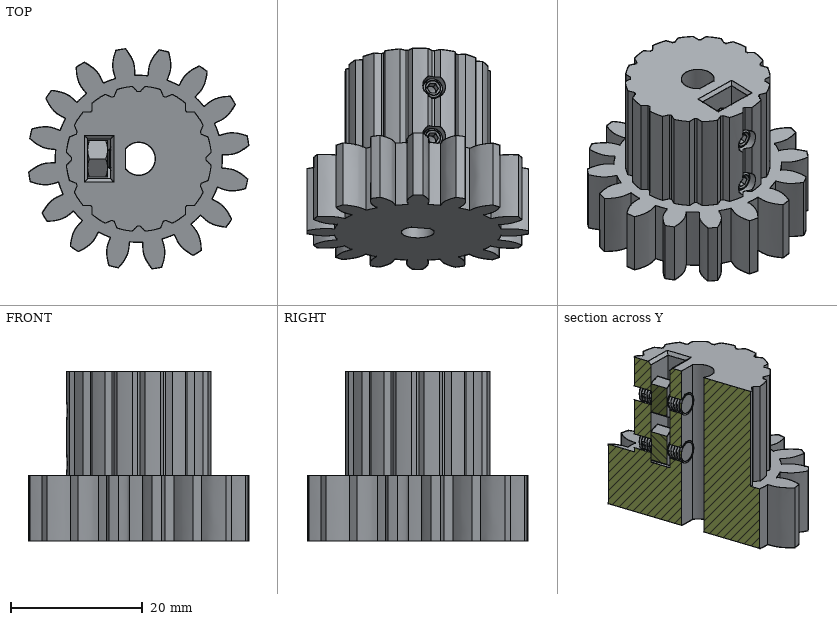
import cadquery as cq
import math

TOOTH_COUNT = 16
TOOTH_PITCH_ANGLE = 360 / TOOTH_COUNT
FIRST_TOOTH_ANGLE = 9.4
TOOTH_ROOT_HALF_ANGLE = 6.7
TIP_RADIUS = 16.87
ROOT_RADIUS = 12.72
BASE_RADIUS = 14.15
WHEEL_HEIGHT = 10.0
FLANK_STEPS = 5
TOOTH_SINK = 0.35

HUB_RADIUS = 11.05
HUB_HEIGHT = 15.8
TOTAL_HEIGHT = WHEEL_HEIGHT + HUB_HEIGHT
FLUTE_COUNT = 16
FLUTE_PITCH_ANGLE = 360 / FLUTE_COUNT
FLUTE_DEPTH = 0.85
FLUTE_CLEARANCE = 0.35
FLUTE_FLOOR_WIDTH = 0.37

BORE_DIAMETER = 5.0
BORE_FLAT_X = -2.0

SCREW_DIAMETER = 3.0
SCREW_HOLE_DIAMETER = 3.5
SCREW_SPACING = 8.0
LOWER_SCREW_Z = 11.82
SCREW_HEIGHTS = [LOWER_SCREW_Z, LOWER_SCREW_Z + SCREW_SPACING]
SCREW_LENGTH = 8.1
SCREW_HEAD_X = BORE_FLAT_X - SCREW_LENGTH
THREAD_PITCH = 0.5
THREAD_DEPTH = 0.3
THREAD_TURNS = 15
HEAD_CHAMFER_LENGTH = 0.17
SOCKET_FLATS = 1.5
SOCKET_DEPTH = 1.5
SOCKET_DRILL_ANGLE = 118
COUNTERSINK_DIAMETER = 2.28
COUNTERSINK_ANGLE = 130

NUT_FLATS = 5.5
NUT_THICKNESS = 3.0
NUT_CHAMFER_ANGLE = 30
POCKET_LENGTH = 3.48
POCKET_WIDTH = 6.05
POCKET_CHAMFER = 0.5
POCKET_OUTER_X = -7.77


def polar(radius, angle):
    """Point at a radius and an angle in radians."""
    return (radius * math.cos(angle), radius * math.sin(angle))


def corner_diameter(flats):
    """Distance across the corners of a hexagon."""
    return flats / math.cos(math.pi / 6)


def flank_half_angle(radius):
    """Half the angle of a tooth, in radians: constant up to the base circle, then an involute."""
    pressure_angle = math.acos(min(1, BASE_RADIUS / radius))
    return math.radians(TOOTH_ROOT_HALF_ANGLE) - (math.tan(pressure_angle) - pressure_angle)


def make_tooth():
    """One tooth along +X, with its foot sunk a little into the wheel body."""
    foot_radius = ROOT_RADIUS - TOOTH_SINK
    flank_step = (TIP_RADIUS - BASE_RADIUS) / FLANK_STEPS
    radii = [foot_radius] + [BASE_RADIUS + i * flank_step for i in range(FLANK_STEPS + 1)]
    right_flank = [polar(r, -flank_half_angle(r)) for r in radii]
    left_flank = [polar(r, flank_half_angle(r)) for r in reversed(radii)]
    return (
        cq.Workplane("XY")
        .moveTo(*right_flank[0])
        .spline(right_flank[1:], includeCurrent=True)
        .threePointArc((TIP_RADIUS, 0), left_flank[0])
        .spline(left_flank[1:], includeCurrent=True)
        .close()
        .extrude(WHEEL_HEIGHT)
    )


def make_wheel():
    """Toothed wheel standing on the XY plane."""
    wheel = cq.Workplane("XY").circle(ROOT_RADIUS).extrude(WHEEL_HEIGHT)
    tooth = make_tooth()
    for i in range(TOOTH_COUNT):
        angle = FIRST_TOOTH_ANGLE + i * TOOTH_PITCH_ANGLE
        wheel = wheel.union(tooth.rotate((0, 0, 0), (0, 0, 1), angle))
    return wheel


def make_hub():
    """Cylinder on top of the wheel with flutes along its full height."""
    hub = cq.Workplane("XY").workplane(offset=WHEEL_HEIGHT).circle(HUB_RADIUS).extrude(HUB_HEIGHT)
    floor_x = HUB_RADIUS - FLUTE_DEPTH
    mouth_x = HUB_RADIUS + FLUTE_CLEARANCE
    floor_y = FLUTE_FLOOR_WIDTH / 2
    mouth_y = floor_y + mouth_x - floor_x
    flute = (
        cq.Workplane("XY")
        .workplane(offset=WHEEL_HEIGHT)
        .polyline([(floor_x, -floor_y), (mouth_x, -mouth_y), (mouth_x, mouth_y), (floor_x, floor_y)])
        .close()
        .extrude(HUB_HEIGHT)
    )
    for i in range(FLUTE_COUNT):
        hub = hub.cut(flute.rotate((0, 0, 0), (0, 0, 1), i * FLUTE_PITCH_ANGLE))
    return hub


def make_bore():
    """Round shaft hole with a flat on its -X side."""
    return (
        cq.Workplane("XY")
        .circle(BORE_DIAMETER / 2)
        .extrude(TOTAL_HEIGHT)
        .intersect(
            cq.Workplane("XY")
            .box(BORE_DIAMETER, BORE_DIAMETER, TOTAL_HEIGHT, centered=(False, True, False))
            .translate((BORE_FLAT_X, 0, 0))
        )
    )


def make_nut_pocket():
    """Slot from the hub top with a V floor around the lower nut and a chamfered mouth."""
    half_width = POCKET_WIDTH / 2
    floor_tip_z = LOWER_SCREW_Z - corner_diameter(POCKET_WIDTH) / 2
    floor_side_z = LOWER_SCREW_Z - corner_diameter(POCKET_WIDTH) / 4
    slot = (
        cq.Workplane("YZ", origin=(POCKET_OUTER_X, 0, 0))
        .moveTo(0, floor_tip_z)
        .lineTo(half_width, floor_side_z)
        .lineTo(half_width, TOTAL_HEIGHT)
        .lineTo(-half_width, TOTAL_HEIGHT)
        .lineTo(-half_width, floor_side_z)
        .close()
        .extrude(POCKET_LENGTH)
    )
    mouth = (
        cq.Workplane("XY", origin=(POCKET_OUTER_X + POCKET_LENGTH / 2, 0, TOTAL_HEIGHT))
        .rect(POCKET_LENGTH + 2 * POCKET_CHAMFER, POCKET_WIDTH + 2 * POCKET_CHAMFER)
        .workplane(offset=-POCKET_CHAMFER)
        .rect(POCKET_LENGTH, POCKET_WIDTH)
        .loft()
    )
    return slot.union(mouth)


def make_screw_hole(height):
    """Clearance hole from outside the hub to the bore flat."""
    return (
        cq.Workplane("YZ", origin=(BORE_FLAT_X, 0, height))
        .circle(SCREW_HOLE_DIAMETER / 2)
        .extrude(-HUB_RADIUS)
    )


def make_gear():
    """Wheel and hub in one solid, with the bore, nut pocket and screw holes."""
    gear = make_wheel().union(make_hub()).cut(make_bore()).cut(make_nut_pocket())
    for height in SCREW_HEIGHTS:
        gear = gear.cut(make_screw_hole(height))
    return gear


def make_nut_blank():
    """Hexagon with a corner up, its corners chamfered at both ends."""
    corner_radius = corner_diameter(NUT_FLATS) / 2
    flat_radius = NUT_FLATS / 2
    chamfer_length = (corner_radius - flat_radius) * math.tan(math.radians(NUT_CHAMFER_ANGLE))
    hexagon = (
        cq.Workplane("YZ", origin=(POCKET_OUTER_X, 0, 0))
        .transformed(rotate=(0, 0, 90))
        .polygon(6, 2 * corner_radius)
        .extrude(NUT_THICKNESS)
    )
    near_x = POCKET_OUTER_X
    far_x = POCKET_OUTER_X + NUT_THICKNESS
    chamfer_envelope = (
        cq.Workplane("XY")
        .polyline([
            (near_x, 0),
            (near_x, flat_radius),
            (near_x + chamfer_length, corner_radius),
            (far_x - chamfer_length, corner_radius),
            (far_x, flat_radius),
            (far_x, 0),
        ])
        .close()
        .revolve(360, (0, 0, 0), (1, 0, 0))
    )
    return hexagon.intersect(chamfer_envelope)


def make_cone(base_x, diameter, angle):
    """Cone on the X axis that narrows toward +X with the given full angle in degrees."""
    radius = diameter / 2
    height = radius / math.tan(math.radians(angle / 2))
    return (
        cq.Workplane("XY")
        .polyline([(base_x, 0), (base_x, radius), (base_x + height, 0)])
        .close()
        .revolve(360, (0, 0, 0), (1, 0, 0))
    )


def make_socket():
    """Hexagon socket with a flat at its top, a countersunk mouth and a cone at its bottom."""
    hexagon = (
        cq.Workplane("YZ", origin=(SCREW_HEAD_X, 0, 0))
        .polygon(6, corner_diameter(SOCKET_FLATS))
        .extrude(SOCKET_DEPTH)
    )
    drill_tip = make_cone(SCREW_HEAD_X + SOCKET_DEPTH, SOCKET_FLATS, SOCKET_DRILL_ANGLE)
    countersink = make_cone(SCREW_HEAD_X, COUNTERSINK_DIAMETER, COUNTERSINK_ANGLE)
    return hexagon.union(drill_tip).union(countersink)


def make_threaded_rod():
    """Rod along X with ring-shaped thread grooves and a chamfered outer end."""
    crest_radius = SCREW_DIAMETER / 2
    thread_root_radius = crest_radius - THREAD_DEPTH
    thread_start_x = SCREW_HEAD_X + HEAD_CHAMFER_LENGTH
    profile = [(SCREW_HEAD_X, 0), (SCREW_HEAD_X, thread_root_radius), (thread_start_x, crest_radius)]
    for turn in range(THREAD_TURNS):
        turn_x = thread_start_x + turn * THREAD_PITCH
        profile.append((turn_x + THREAD_PITCH / 2, thread_root_radius))
        profile.append((turn_x + THREAD_PITCH, crest_radius))
    profile += [(BORE_FLAT_X, crest_radius), (BORE_FLAT_X, 0)]
    return cq.Workplane("XY").polyline(profile).close().revolve(360, (0, 0, 0), (1, 0, 0))


def make_clamp_screw(height):
    """Socket screw with its nut, as one solid at a given height."""
    screw = make_threaded_rod().union(make_nut_blank()).cut(make_socket())
    return screw.translate((0, 0, height))


gear = make_gear()
clamp_screws = [make_clamp_screw(height) for height in SCREW_HEIGHTS]

result = cq.Compound.makeCompound([
    gear.solids().val(),
    *[screw.solids().val() for screw in clamp_screws],
])